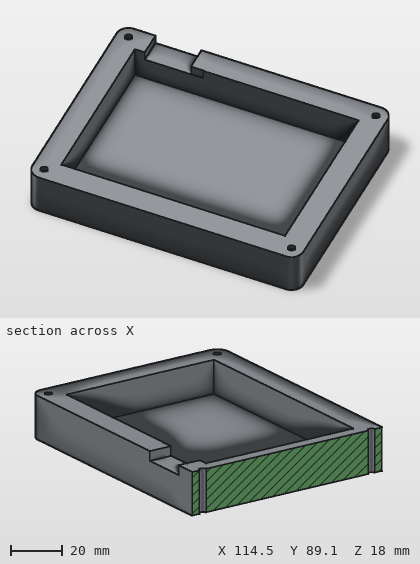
import cadquery as cq

LENGTH = 114.52
WIDTH = 89.06
HEIGHT = 18.0
CORNER_RADIUS = 5.0

WALL = 10.0
FLOOR = 4.0
CAVITY_LENGTH = LENGTH - 2 * WALL
CAVITY_WIDTH = WIDTH - 2 * WALL

HOLE_DIAMETER = 2.9
HOLE_INSET = CORNER_RADIUS

NOTCH_START = 14.2
NOTCH_LENGTH = 19.4
NOTCH_DEPTH = 4.0

RELIEF_LENGTH = 5.2
RELIEF_DEPTH = 0.2


def make_body():
    return (
        cq.Workplane("XY")
        .rect(LENGTH, WIDTH)
        .extrude(HEIGHT)
        .edges("|Z")
        .fillet(CORNER_RADIUS)
    )


def cut_cavity(body):
    cavity = (
        cq.Workplane("XY", origin=(0, 0, FLOOR))
        .rect(CAVITY_LENGTH, CAVITY_WIDTH)
        .extrude(HEIGHT - FLOOR)
    )
    return body.cut(cavity)


def cut_screw_holes(body):
    return (
        body.faces(">Z")
        .workplane(origin=(0, 0, HEIGHT))
        .rect(LENGTH - 2 * HOLE_INSET, WIDTH - 2 * HOLE_INSET, forConstruction=True)
        .vertices()
        .hole(HOLE_DIAMETER)
    )


def cut_notch(body):
    notch = cq.Workplane("XY").box(NOTCH_LENGTH, WALL, NOTCH_DEPTH, centered=False)
    corner = (NOTCH_START - LENGTH / 2, WIDTH / 2 - WALL, HEIGHT - NOTCH_DEPTH)
    return body.cut(notch.translate(corner))


def cut_relief(body):
    relief = cq.Workplane("XY").box(RELIEF_LENGTH, RELIEF_DEPTH, NOTCH_DEPTH, centered=False)
    corner = (NOTCH_START + NOTCH_LENGTH - LENGTH / 2, WIDTH / 2 - WALL, HEIGHT - NOTCH_DEPTH)
    return body.cut(relief.translate(corner))


result = make_body()
result = cut_cavity(result)
result = cut_screw_holes(result)
result = cut_notch(result)
result = cut_relief(result)